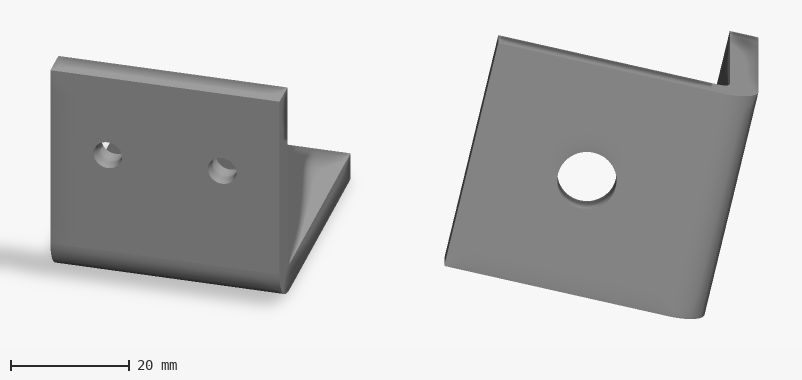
import cadquery as cq

width = 40.0
depth = 45.0
height = 40.0
thickness = 5.0

inner_bend_radius = 2.0
outer_bend_radius = 6.4

base_hole_diameter = 10.0
base_hole_from_free_edge = 20.0
upright_hole_diameter = 5.0
upright_hole_spacing = 20.0
upright_hole_height = 25.0


def bent_plate():
    """L-shaped plate: base on Z = 0, upright with its outer face on Y = 0."""
    profile = (
        cq.Workplane("YZ")
        .moveTo(depth, 0)
        .lineTo(depth, thickness)
        .lineTo(thickness, thickness)
        .lineTo(thickness, height)
        .lineTo(0, height)
        .lineTo(0, 0)
        .close()
    )
    plate = profile.extrude(width / 2, both=True)
    inner_corner = cq.selectors.NearestToPointSelector((0, thickness, thickness))
    outer_corner = cq.selectors.NearestToPointSelector((0, 0, 0))
    plate = plate.edges("|X").edges(inner_corner).fillet(inner_bend_radius)
    return plate.edges("|X").edges(outer_corner).fillet(outer_bend_radius)


def base_hole():
    """Cutter for the single hole through the base."""
    return (
        cq.Workplane("XY")
        .center(0, depth - base_hole_from_free_edge)
        .circle(base_hole_diameter / 2)
        .extrude(thickness)
    )


def upright_holes():
    """Cutters for the pair of holes through the upright."""
    half_spacing = upright_hole_spacing / 2
    return (
        cq.Workplane("XZ")
        .pushPoints([(side * half_spacing, upright_hole_height) for side in (-1, 1)])
        .circle(upright_hole_diameter / 2)
        .extrude(-thickness)
    )


result = bent_plate().cut(base_hole()).cut(upright_holes())